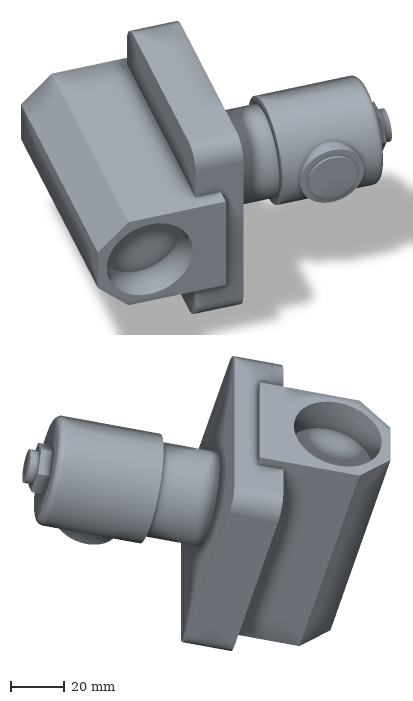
import cadquery as cq

flange_side = 82.0
flange_thickness = 19.0
flange_corner_radius = 7.9

block_length = 92.0
block_height = 40.7
block_offset_x = 1.0
block_rear_y = -9.0
block_front_y = -59.6
chamfer_depth = 12.1
chamfer_height = 11.7
port_diameter = 34.0
port_depth = 14.3
port_y = -39.1

neck_diameter = 36.1
neck_length = 22.0

coil_gap = 0.4
coil_diameter = 42.0
coil_top_y = 62.6
coil_rim_radius = 2.5
coil_start_y = neck_length + coil_gap

nut_across_corners = 19.5
nut_height = 4.4
stud_diameter = 12.9
stud_end_y = block_front_y + 129.9

connector_y = 41.4
connector_diameter = 25.2
connector_end_x = 22.2
connector_cap_diameter = 19.2
connector_cap_height = 0.9


def cylinder_along_y(diameter, start_y, end_y):
    """Cylinder on the stem axis between two Y positions."""
    return cq.Workplane("XZ", origin=(0, start_y, 0)).circle(diameter / 2).extrude(start_y - end_y)


def cylinder_along_x(diameter, start_x, end_x, centre_y):
    """Cylinder along X at mid height, between two X positions."""
    plane = cq.Workplane("YZ", origin=(start_x, centre_y, 0))
    return plane.circle(diameter / 2).extrude(end_x - start_x)


def make_flange():
    plate = cq.Workplane("XZ").rect(flange_side, flange_side).extrude(flange_thickness)
    return plate.edges("|Y").fillet(flange_corner_radius)


def make_block():
    left_x = block_offset_x - block_length / 2
    right_x = left_x + block_length
    half_height = block_height / 2
    front_half_height = half_height - chamfer_height
    shoulder_y = block_front_y + chamfer_depth
    return (
        cq.Workplane("YZ", origin=(left_x, 0, 0))
        .moveTo(block_rear_y, -half_height)
        .lineTo(shoulder_y, -half_height)
        .lineTo(block_front_y, -front_half_height)
        .lineTo(block_front_y, front_half_height)
        .lineTo(shoulder_y, half_height)
        .lineTo(block_rear_y, half_height)
        .close()
        .extrude(right_x - left_x)
    )


def make_valve_body():
    """Flange, flow block and neck, with a blind port in each end of the block."""
    body = make_flange().union(make_block()).union(cylinder_along_y(neck_diameter, 0, neck_length))
    for direction in (-1, 1):
        end_x = block_offset_x + direction * block_length / 2
        floor_x = end_x - direction * port_depth
        body = body.cut(cylinder_along_x(port_diameter, end_x, floor_x, port_y))
    return body


def make_connector():
    barrel = cylinder_along_x(connector_diameter, 0, connector_end_x, connector_y)
    cap_end_x = connector_end_x + connector_cap_height
    return barrel.union(cylinder_along_x(connector_cap_diameter, 0, cap_end_x, connector_y))


def make_coil():
    """Coil housing with its connector, nut and stud."""
    housing = cylinder_along_y(coil_diameter, coil_start_y, coil_top_y)
    housing = housing.faces(">Y").edges().fillet(coil_rim_radius)
    nut = cq.Workplane("XZ", origin=(0, coil_top_y, 0)).polygon(6, nut_across_corners).extrude(-nut_height)
    stud = cylinder_along_y(stud_diameter, coil_top_y, stud_end_y)
    return housing.union(make_connector()).union(nut).union(stud)


valve_body = make_valve_body()
coil = make_coil()

result = cq.Compound.makeCompound([valve_body.val(), coil.val()])